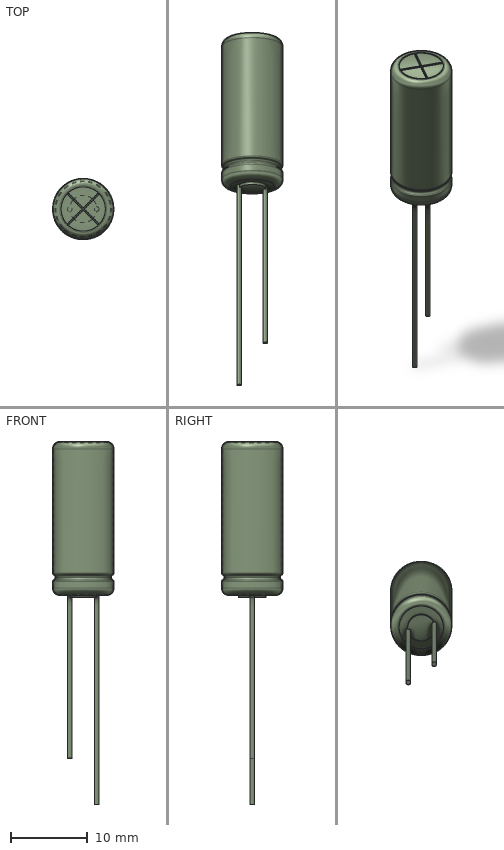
import cadquery as cq
import math


overall_height = 47.2

sleeve_diameter = 8.0
sleeve_height = 20.0
sleeve_thickness = 0.1
rim_radius = 0.95
opening_diameter = 5.75

crimp_height = 2.35
crimp_depth = 0.35
crimp_half_width = 0.55
crimp_floor_half_width = 0.05

score_width = 0.2
score_depth = 0.1
score_angles = (45, 135)

seal_diameter = 3.55
seal_drop = 0.3

lead_diameter = 0.6
lead_spacing = 3.5
long_lead_drop = overall_height - sleeve_height
lead_length_difference = 6.0

crimp_side_width = crimp_half_width - crimp_floor_half_width
crimp_arc_angle = 2 * math.atan(crimp_depth / crimp_side_width)
crimp_arc_radius = crimp_side_width / 2 / math.sin(crimp_arc_angle)


def point_on_arc(centre, radius, angle):
    """Point on an arc in the radius-height plane, with the angle measured from the outward direction."""
    return (centre[0] + radius * math.cos(angle), centre[1] + radius * math.sin(angle))


def crimped_cylinder(inset):
    """Round body with rounded rims and a crimp, lying a given distance inside the sleeve's outer skin."""
    outer = sleeve_diameter / 2
    side = outer - inset
    bottom = inset
    top = sleeve_height - inset
    corner = rim_radius - inset

    shoulder_radius = crimp_arc_radius - inset
    valley_radius = crimp_arc_radius + inset
    lower_shoulder = (outer - crimp_arc_radius, crimp_height - crimp_half_width)
    upper_shoulder = (outer - crimp_arc_radius, crimp_height + crimp_half_width)
    valley_x = outer - crimp_depth + crimp_arc_radius
    lower_valley = (valley_x, crimp_height - crimp_floor_half_width)
    upper_valley = (valley_x, crimp_height + crimp_floor_half_width)

    lower_rim = (outer - rim_radius, rim_radius)
    upper_rim = (outer - rim_radius, sleeve_height - rim_radius)
    eighth_turn = math.pi / 4

    profile = (
        cq.Workplane("XZ")
        .moveTo(0, bottom)
        .lineTo(lower_rim[0], bottom)
        .threePointArc(point_on_arc(lower_rim, corner, -eighth_turn), (side, lower_rim[1]))
        .lineTo(side, lower_shoulder[1])
        .threePointArc(
            point_on_arc(lower_shoulder, shoulder_radius, crimp_arc_angle / 2),
            point_on_arc(lower_shoulder, shoulder_radius, crimp_arc_angle),
        )
        .threePointArc(
            point_on_arc(lower_valley, valley_radius, math.pi + crimp_arc_angle / 2),
            point_on_arc(lower_valley, valley_radius, math.pi),
        )
        .lineTo(*point_on_arc(upper_valley, valley_radius, math.pi))
        .threePointArc(
            point_on_arc(upper_valley, valley_radius, math.pi - crimp_arc_angle / 2),
            point_on_arc(upper_valley, valley_radius, math.pi - crimp_arc_angle),
        )
        .threePointArc(
            point_on_arc(upper_shoulder, shoulder_radius, -crimp_arc_angle / 2),
            (side, upper_shoulder[1]),
        )
        .lineTo(side, upper_rim[1])
        .threePointArc(point_on_arc(upper_rim, corner, eighth_turn), (upper_rim[0], top))
        .lineTo(0, top)
        .close()
    )
    return profile.revolve(360, (0, 0, 0), (0, 1, 0))


def make_sleeve():
    """Thin sleeve that wraps the can and leaves a round opening at each end."""
    openings = cq.Workplane("XY").circle(opening_diameter / 2).extrude(sleeve_height)
    return crimped_cylinder(0).cut(crimped_cylinder(sleeve_thickness)).cut(openings)


def make_lead(x, drop):
    """Round wire from the can's bottom face down to a given distance below the sleeve."""
    return (
        cq.Workplane("XY", origin=(x, 0, sleeve_thickness))
        .circle(lead_diameter / 2)
        .extrude(-drop - sleeve_thickness)
    )


def make_capacitor():
    """Can with its vent score lines, seal and two leads."""
    can = crimped_cylinder(sleeve_thickness)
    can_top = sleeve_height - sleeve_thickness

    for angle in score_angles:
        score = (
            cq.Workplane("XY", origin=(0, 0, can_top))
            .transformed(rotate=(0, 0, angle))
            .rect(opening_diameter, score_width)
            .extrude(-score_depth)
        )
        can = can.cut(score)

    seal = (
        cq.Workplane("XY", origin=(0, 0, sleeve_thickness))
        .circle(seal_diameter / 2)
        .extrude(-seal_drop - sleeve_thickness)
    )
    short_lead = make_lead(-lead_spacing / 2, long_lead_drop - lead_length_difference)
    long_lead = make_lead(lead_spacing / 2, long_lead_drop)
    return can.union(seal).union(short_lead).union(long_lead)


sleeve = make_sleeve()
capacitor = make_capacitor()

result = cq.Compound.makeCompound([sleeve.solids().val(), capacitor.solids().val()])